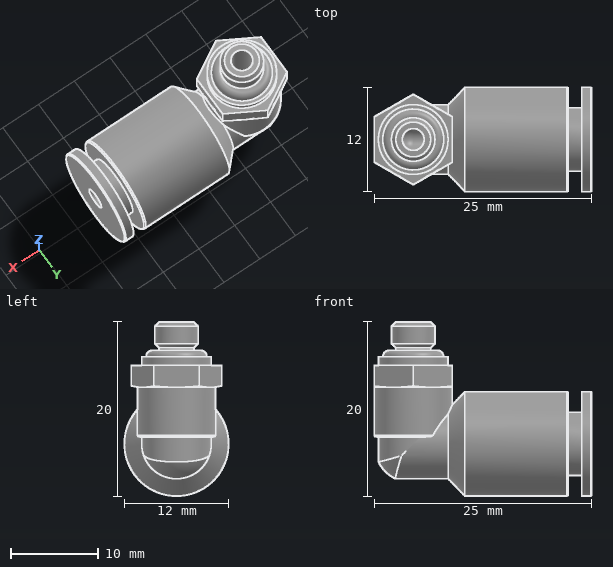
import cadquery as cq
import math


leg_radius = 4.0
sleeve_radius = 4.5
sleeve_bottom = 0.85
sleeve_chamfer_height = 0.15
sleeve_chamfer_width = 0.1
sleeve_taper_height = 0.1
hex_across_flats = 2 * sleeve_radius
hex_height = 2.5
hex_bottom = 6.5
hex_top = hex_bottom + hex_height
hex_corner_rise = 0.15
collar_radius = 4.0
collar_top = hex_top + 1.0

thread_radius = 2.5
thread_neck_radius = 4.02 / 2
thread_top = 14.0
thread_bottom = thread_top - 2.5
thread_chamfer = 0.5
neck_taper = thread_radius - thread_neck_radius
ring_centre_radius = 2.75
ring_section_radius = 0.75
ring_centre_height = collar_top

corner_sphere_radius = 4.0
corner_sphere_offset = 0.38
corner_inner_limit = 1.0

cone_start = 4.0
body_radius = 6.0
cone_end = 5.92
body_end = 17.8
release_radius = 7.3 / 2
flange_start = 19.3
flange_end = 20.5
rim_chamfer_length = 0.2
rim_chamfer_depth = 0.1
flange_chamfer = 0.12

bore_radius = 1.25


def vertical_cylinder(radius, bottom, top):
    return cq.Workplane("XY").workplane(offset=bottom).circle(radius).extrude(top - bottom)


def horizontal_cylinder(radius, start, end):
    return cq.Workplane("YZ").workplane(offset=start).circle(radius).extrude(end - start)


def make_elbow():
    """Two mitred legs whose outer corner is rounded by a sphere."""
    upright = vertical_cylinder(leg_radius, -leg_radius, 0)
    level = horizontal_cylinder(leg_radius, -leg_radius, 0)
    mitre = upright.intersect(level)
    elbow = (
        mitre
        .union(vertical_cylinder(leg_radius, 0, hex_bottom))
        .union(horizontal_cylinder(leg_radius, 0, cone_start))
    )
    sphere = cq.Workplane("XY").sphere(corner_sphere_radius)
    sphere = sphere.translate((-corner_sphere_offset, 0, -corner_sphere_offset))
    corner_length = 2 * leg_radius
    corner_centre = -corner_inner_limit - corner_length / 2
    corner = cq.Workplane("XY").box(corner_length, 2 * corner_length, corner_length)
    corner = corner.translate((corner_centre, 0, corner_centre))
    return elbow.cut(corner.cut(sphere))


def make_sleeve_and_thread():
    """Turned stem from the sleeve's lower rim to the tip of the thread."""
    profile = [
        (0, sleeve_bottom - sleeve_taper_height),
        (leg_radius, sleeve_bottom - sleeve_taper_height),
        (sleeve_radius - sleeve_chamfer_width, sleeve_bottom),
        (sleeve_radius, sleeve_bottom + sleeve_chamfer_height),
        (sleeve_radius, hex_top),
        (collar_radius, hex_top),
        (collar_radius, collar_top),
        (thread_neck_radius, collar_top),
        (thread_neck_radius, thread_bottom - neck_taper),
        (thread_radius, thread_bottom),
        (thread_radius, thread_top - thread_chamfer),
        (thread_radius - thread_chamfer, thread_top),
        (0, thread_top),
    ]
    return cq.Workplane("XZ").polyline(profile).close().revolve(360, (0, 0), (0, 1))


def make_hexagon():
    """Hexagon with corners on Y, its lower corners trimmed by a cone."""
    corner_radius = hex_across_flats / 2 / math.cos(math.radians(30))
    prism = (
        cq.Workplane("XY").workplane(offset=hex_bottom)
        .polygon(6, 2 * corner_radius).extrude(hex_height)
        .rotate((0, 0, 0), (0, 0, 1), 30)
    )
    envelope_profile = [
        (0, hex_bottom),
        (sleeve_radius, hex_bottom),
        (corner_radius, hex_bottom + hex_corner_rise),
        (corner_radius, hex_top),
        (0, hex_top),
    ]
    envelope = cq.Workplane("XZ").polyline(envelope_profile).close().revolve(360, (0, 0), (0, 1))
    return prism.intersect(envelope)


def make_seal_ring():
    return (
        cq.Workplane("XZ").center(ring_centre_radius, ring_centre_height)
        .circle(ring_section_radius)
        .revolve(360, (-ring_centre_radius, 0), (-ring_centre_radius, 1))
    )


def make_tube_body():
    """Turned tube body with its cone, release neck and end flange."""
    profile = [
        (cone_start, 0),
        (cone_start, leg_radius),
        (cone_end, body_radius),
        (body_end - rim_chamfer_length, body_radius),
        (body_end, body_radius - rim_chamfer_depth),
        (body_end, release_radius),
        (flange_start, release_radius),
        (flange_start, body_radius),
        (flange_end - flange_chamfer, body_radius),
        (flange_end, body_radius - flange_chamfer),
        (flange_end, 0),
    ]
    return cq.Workplane("XZ").polyline(profile).close().revolve(360, (0, 0), (1, 0))


def make_bore():
    """Right-angle passage with a ball-shaped turn."""
    turn = cq.Workplane("XY").sphere(bore_radius)
    return (
        turn
        .union(vertical_cylinder(bore_radius, 0, thread_top))
        .union(horizontal_cylinder(bore_radius, 0, flange_end))
    )


result = (
    make_elbow()
    .union(make_sleeve_and_thread())
    .union(make_hexagon())
    .union(make_seal_ring())
    .union(make_tube_body())
    .cut(make_bore())
)